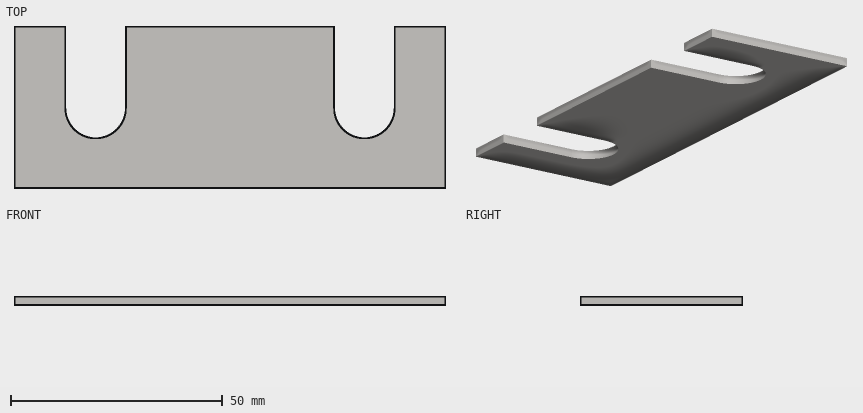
import cadquery as cq

length = 101.6
width = 38.1
thickness = 2.0

slot_width = 14.2
slot_spacing = 63.4
slot_depth = 26.3

slot_radius = slot_width / 2
back_edge = width / 2
arc_center_y = back_edge - slot_depth + slot_radius


def slot_cutter(center_x):
    """U-shaped cutter running from the round slot bottom to the back edge."""
    left = center_x - slot_radius
    right = center_x + slot_radius
    return (
        cq.Workplane("XY")
        .moveTo(left, back_edge)
        .lineTo(left, arc_center_y)
        .threePointArc((center_x, arc_center_y - slot_radius), (right, arc_center_y))
        .lineTo(right, back_edge)
        .close()
        .extrude(thickness)
    )


result = cq.Workplane("XY").box(length, width, thickness, centered=(True, True, False))
for side in (-1, 1):
    result = result.cut(slot_cutter(side * slot_spacing / 2))